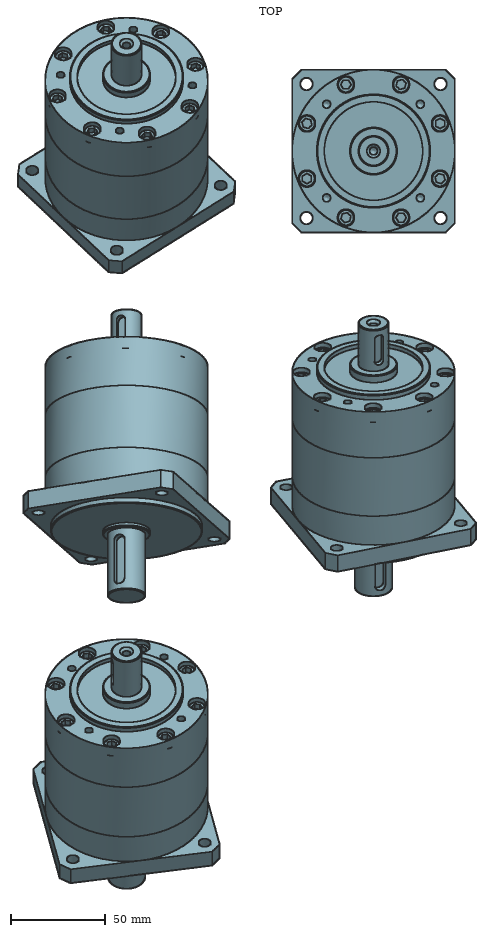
import cadquery as cq
import math

overall_length = 160.5
flange_thickness = 10.0
output_ring_height = 17.5
input_ring_height = 27.8
pilot_height = 3.0
collar_projection = 2.0
input_shaft_length = 25.0
output_shaft_length = 35.0
end_feature_length = 2 * (pilot_height + collar_projection) + input_shaft_length + output_shaft_length

output_top = flange_thickness + output_ring_height
input_top = overall_length - end_feature_length
gear_ring_height = input_top - input_ring_height - output_top

housing_diameter = 86.0
flange_corner_chamfer = 5.0
mount_hole_spacing = 70.8
mount_hole_diameter = 6.5

output_pilot_diameter = 80.1
input_pilot_diameter = 60.0
input_recess_diameter = 52.0
input_recess_depth = 2.4
collar_diameter = 25.0
output_shaft_diameter = 20.0
input_shaft_diameter = 16.0
edge_chamfer = 0.5

output_key_width, output_key_depth, output_key_length = 6.0, 3.5, 28.0
input_key_width, input_key_depth, input_key_length = 5.0, 3.0, 18.0

centre_hole_diameter = 4.2
centre_hole_depth = 12.5
countersink_diameter = 7.0
drill_point_angle = 118
countersink_angle = 90

screw_count = 8
screw_circle_diameter = 76.0
counterbore_diameter = 9.0
counterbore_depth = 6.5
screw_head_diameter = 8.0
screw_head_height = 4.0
hex_across_corners = 5.5
hex_twist = 7.5
hex_depth = 3.5

tapped_hole_count = 4
tapped_circle_diameter = 70.0
tapped_hole_diameter = 4.2
tapped_hole_depth = 10.0


def cylinder(diameter, height, base_z):
    """Upright cylinder on the Z axis."""
    return cq.Workplane("XY").workplane(offset=base_z).circle(diameter / 2).extrude(height)


def drill(diameter, depth, top_z):
    """Blind-hole cutter on the Z axis, pointing down, with a conical drill point."""
    radius = diameter / 2
    point_length = radius / math.tan(math.radians(drill_point_angle / 2))
    return (
        cq.Workplane("XZ")
        .moveTo(0, top_z)
        .lineTo(radius, top_z)
        .lineTo(radius, top_z - depth)
        .lineTo(0, top_z - depth - point_length)
        .close()
        .revolve(360, (0, 0, 0), (0, 1, 0))
    )


def countersink(outer_diameter, inner_diameter, top_z):
    """Conical cutter on the Z axis that widens the mouth of a hole."""
    outer_radius, inner_radius = outer_diameter / 2, inner_diameter / 2
    depth = (outer_radius - inner_radius) / math.tan(math.radians(countersink_angle / 2))
    return cq.Workplane(cq.Solid.makeCone(inner_radius, outer_radius, depth, cq.Vector(0, 0, top_z - depth)))


def circle_places(circle_diameter, count):
    """Places evenly spaced on a circle, starting half a step from the X axis and turned with it."""
    step = 360 / count
    return cq.Workplane("XY").polarArray(circle_diameter / 2, step / 2, 360, count)


def keyway(shaft_diameter, width, depth, length, middle_z):
    """Round-ended keyway cutter let into the +Y side of a shaft."""
    opening = 2 * depth
    floor_y = shaft_diameter / 2 - depth
    return (
        cq.Workplane("XZ", origin=(0, floor_y, middle_z))
        .slot2D(length, width, 90)
        .extrude(-opening)
    )


def make_output_section():
    """Square flange, lower housing ring, pilot and output shaft."""
    pilot_end = -pilot_height
    collar_end = pilot_end - collar_projection
    shaft_end = collar_end - output_shaft_length

    flange = (
        cq.Workplane("XY")
        .rect(housing_diameter, housing_diameter)
        .extrude(flange_thickness)
        .edges("|Z")
        .chamfer(flange_corner_chamfer)
        .faces(">Z")
        .workplane()
        .rect(mount_hole_spacing, mount_hole_spacing, forConstruction=True)
        .vertices()
        .hole(mount_hole_diameter)
    )
    ring = cylinder(housing_diameter, output_ring_height, flange_thickness)
    pilot = cylinder(output_pilot_diameter, pilot_height, pilot_end).faces("<Z").chamfer(edge_chamfer)
    collar = cylinder(collar_diameter, -collar_end, collar_end).faces("<Z").chamfer(edge_chamfer)
    shaft = cylinder(output_shaft_diameter, -shaft_end, shaft_end).faces("<Z").chamfer(edge_chamfer)
    key_middle = collar_end - output_shaft_length / 2
    key_cutter = keyway(
        output_shaft_diameter, output_key_width, output_key_depth, output_key_length, key_middle
    )
    return flange.union(ring).union(pilot).union(collar).union(shaft.cut(key_cutter))


def make_gear_ring():
    """Plain middle section of the housing."""
    return cylinder(housing_diameter, gear_ring_height, output_top)


def add_screws(section):
    """Sink the counterbores and leave a socket head standing in each one."""
    head_base = input_top - counterbore_depth
    counterbore = cylinder(counterbore_diameter, counterbore_depth, head_base)
    head = cylinder(screw_head_diameter, screw_head_height, head_base)
    socket = (
        cq.Workplane("XY")
        .workplane(offset=head_base + screw_head_height - hex_depth)
        .transformed(rotate=(0, 0, hex_twist))
        .polygon(6, hex_across_corners)
        .extrude(hex_depth)
    )
    cutter = counterbore.cut(head).union(socket).val()
    places = circle_places(screw_circle_diameter, screw_count)
    return section.cut(places.eachpoint(lambda place: cutter.moved(place)))


def add_tapped_holes(section):
    """Blind tapped holes between the screws."""
    cutter = drill(tapped_hole_diameter, tapped_hole_depth, input_top).val()
    places = circle_places(tapped_circle_diameter, tapped_hole_count)
    return section.cut(places.eachpoint(lambda place: cutter.moved(place)))


def make_input_shaft():
    """Input shaft with its collar, keyway and countersunk centre hole."""
    collar_top = input_top + pilot_height + collar_projection
    shaft_top = collar_top + input_shaft_length

    collar = cylinder(collar_diameter, collar_top - input_top, input_top)
    collar = collar.faces(">Z").chamfer(edge_chamfer)
    shaft = cylinder(input_shaft_diameter, shaft_top - input_top, input_top)
    shaft = shaft.faces(">Z").chamfer(edge_chamfer)
    key_middle = collar_top + input_shaft_length / 2
    shaft = shaft.cut(
        keyway(input_shaft_diameter, input_key_width, input_key_depth, input_key_length, key_middle)
    )
    shaft = shaft.cut(drill(centre_hole_diameter, centre_hole_depth, shaft_top))
    shaft = shaft.cut(countersink(countersink_diameter, centre_hole_diameter, shaft_top))
    return collar.union(shaft)


def make_input_section():
    """Upper housing section with its raised pilot ring, screws, tapped holes and input shaft."""
    ring = cylinder(housing_diameter, input_ring_height, input_top - input_ring_height)
    pilot = cylinder(input_pilot_diameter, pilot_height, input_top)
    pilot = pilot.faces(">Z").chamfer(edge_chamfer)
    recess_floor = input_top + pilot_height - input_recess_depth
    pilot = pilot.cut(cylinder(input_recess_diameter, input_recess_depth, recess_floor))
    section = add_tapped_holes(add_screws(ring))
    return section.union(pilot).union(make_input_shaft())


output_section = make_output_section()
gear_ring = make_gear_ring()
input_section = make_input_section()

result = cq.Compound.makeCompound([output_section.val(), gear_ring.val(), input_section.val()])